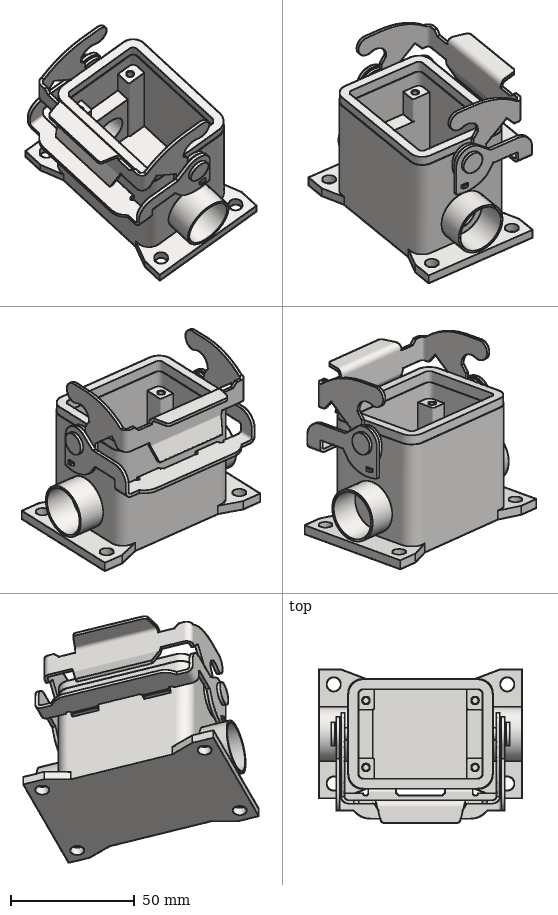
import cadquery as cq
import math

FLANGE_LENGTH = 82.0
FLANGE_WIDTH = 52.0
FLANGE_THICKNESS = 4.0
FLANGE_EAR_LENGTH = 9.1
FLANGE_TAPER_LENGTH = 10.0
MOUNT_HOLE_DIAMETER = 5.6
MOUNT_HOLE_SPACING = (70.0, 40.0)

BODY_LENGTH = 58.5
BODY_WIDTH = 44.4
BODY_HEIGHT = 53.0
BODY_CORNER_RADIUS = 6.0
RIM_HEIGHT = 4.0
RIM_STEP = 0.2

OPENING_LENGTH = 50.0
OPENING_WIDTH = 36.0
OPENING_RADIUS = 2.0
CAVITY_UNDERCUT = 0.2
CAVITY_RADIUS = 2.5
CAVITY_LIP_DEPTH = 5.0
FLOOR_THICKNESS = 4.0
POST_LENGTH = 6.4
POST_WIDTH = 8.2
POST_TOP = 40.8
POST_EDGE_RADIUS = 0.8
SCREW_HOLE_DIAMETER = 2.7
SCREW_HOLE_RIM_DIAMETER = 3.2
SCREW_HOLE_DEPTH = 10.0
SCREW_HOLE_SPACING = (44.0, 27.0)
LEDGE_TOP = 29.5
LEFT_LEDGE_LENGTH = 5.8
RIGHT_LEDGE_LENGTH = 6.4

ENTRY_DIAMETER = 22.0
ENTRY_BORE_DIAMETER = 20.2
ENTRY_BORE_DEPTH = 12.8
ENTRY_AXIS_HEIGHT = 16.0
CABLE_HOLE_DIAMETER = 14.0

PIVOT_HEIGHT = 46.0
PIN_DIAMETER = 4.9
PIN_HEAD_DIAMETER = 9.4
PIN_HEAD_THICKNESS = 1.4
PIN_TIP_X = 35.9

BRACKET_SHEET = 1.5
BRACKET_OUTER_X = 34.0
BRACKET_EYE_RADIUS = 7.0
BRACKET_BEND_RADIUS = 2.8
BRACKET_ARM_TOP = 47.0
BRACKET_ARM_BOTTOM = 39.9
BRACKET_ARM_START = 10.1
BRACKET_TAIL_START = 11.45
BRACKET_TAIL_TURN = (8.3, 35.3)
BRACKET_TAIL_LOW = (0.75, 31.6)
BRACKET_TAIL_END_Z = 32.1
BRACKET_ELBOW_RADIUS = 0.8
BRACKET_PLATE_BACK = 23.9
BRACKET_PLATE_FRONT = 30.9
BRACKET_PLATE_BOTTOM = 33.8
NOSE_FRONT = 34.2
NOSE_HALF_LENGTH = 27.0
NOSE_RADIUS = 8.0
LIP_INNER_X = 9.85
LIP_OUTER_X = 21.1
LIP_BOTTOM = 33.0
LIP_BEND_RADIUS = 1.3
RELIEF_FRONT = 24.8
RELIEF_WIDTH = 2.1
RELIEF_CORNER_RADIUS = 0.95
SLOT_CHAMFER = 1.1
STOP_CENTER = (3.0, 35.0)
STOP_LENGTH = 3.2
STOP_HEIGHT = 1.3
STOP_TIP_X = 35.0
STOP_CHAMFER = 0.65

LEVER_SHEET = 1.4
LEVER_OUTER_X = 32.0
LEVER_BEND_RADIUS = 2.8
LEVER_FRONT = 28.05
LEVER_PLATE_BOTTOM = 53.2
LEVER_PLATE_TOP = 63.5
LEVER_NOTCH_BOTTOM = 61.4
LEVER_NOTCH_OUTER_X = 26.9
LEVER_NOTCH_INNER_X = 24.9
LEVER_TOP = 71.0
HOOK_CENTER = (-4.2, 66.65)
LEVER_BACK_START = 4.4
LEVER_BACK_MID = (15.5, 68.9)
HOOK_THROAT_START = (-2.5, 62.65)
HOOK_THROAT_MID = (2.5, 62.65)
HOOK_THROAT_END = (5.35, 57.4)
NECK_REAR = 3.05
NECK_REAR_TOP = 54.25
NECK_FRONT = 9.35
NECK_FRONT_TOP = 49.1
NECK_CROTCH = (19.7, 57.5)
CHEEK_BOTTOM_START = 23.4
LEVER_EYE_RADIUS = 6.5
LEVER_LOW = 35.7
HANDLE_TIP = 35.98
HANDLE_TOP = 64.6
HANDLE_ROOT_HALF_LENGTH = 18.2
HANDLE_TIP_HALF_LENGTH = 15.8
HANDLE_CORNER_RADIUS = 1.8
SKIRT_ROOT_HALF_LENGTH = 19.2
SKIRT_TIP_HALF_LENGTH = 16.4
SKIRT_CORNER_RADIUS = 1.2
SKIRT_BEND_HEIGHT = 51.7
SKIRT_ANGLE = 25.0
SKIRT_LENGTH = 7.5


def block(x_range, y_range, z_range):
    """Axis-aligned box between the given limits."""
    sizes = [high - low for low, high in (x_range, y_range, z_range)]
    corner = (x_range[0], y_range[0], z_range[0])
    return cq.Workplane("XY").box(*sizes, centered=False).translate(corner)


def rounded_prism(length, width, radius, bottom, top):
    """Vertical prism with a rounded rectangular section, centred on Z."""
    prism = cq.Workplane("XY").workplane(offset=bottom).rect(length, width).extrude(top - bottom)
    return prism.edges("|Z").fillet(radius)


def cylinder_x(diameter, x_start, x_end, height):
    """Cylinder along X at Y = 0 and the given height."""
    plane = cq.Workplane("YZ").workplane(offset=x_start).center(0, height)
    return plane.circle(diameter / 2).extrude(x_end - x_start)


def mirrored_pair(solid):
    """The solid together with its mirror image across X = 0."""
    return solid.union(solid.mirror("YZ"))


def symmetric_outline(plane, half_points):
    """Closed outline on the plane from its +X half, completed by mirroring."""
    other_half = [(-x, w) for x, w in reversed(half_points)]
    return cq.Workplane(plane).polyline(half_points + other_half).close()


def side_shape(start):
    """Start an outline in the YZ plane, with coordinates (distance toward -Y, height)."""
    plane = cq.Plane(origin=(0, 0, 0), xDir=(0, -1, 0), normal=(-1, 0, 0))
    return cq.Workplane(plane).moveTo(*start)


def circle_point(center, radius, degrees):
    """Point on a circle at the given angle."""
    angle = math.radians(degrees)
    return (center[0] + radius * math.cos(angle), center[1] + radius * math.sin(angle))


def sheet_channel(half_width, sheet, bend_radius, length):
    """Sheet web at Y = 0 whose two ends bend toward +Y, extending along +Z."""
    z_range = (0, length)
    inner = half_width - sheet
    depth = 2 * bend_radius
    outside = block((-half_width, half_width), (0, depth), z_range)
    outside = outside.edges("|Z and <Y").fillet(bend_radius)
    inside = block((-inner, inner), (sheet, depth + sheet), z_range)
    inside = inside.edges("|Z and <Y").fillet(bend_radius - sheet)
    legs_above_bend = block((-half_width, half_width), (bend_radius, depth), z_range)
    return outside.cut(inside).cut(legs_above_bend)


def cheeks(outline, outer_x, sheet):
    """Pair of flat side plates with the given outline, flush with +/- outer_x."""
    return mirrored_pair(outline.extrude(sheet).translate((sheet - outer_x, 0, 0)))


def make_flange():
    end_x = FLANGE_LENGTH / 2
    ear_x = end_x - FLANGE_EAR_LENGTH
    waist_x = ear_x - FLANGE_TAPER_LENGTH
    ear_y = FLANGE_WIDTH / 2
    waist_y = BODY_WIDTH / 2
    half = [(waist_x, -waist_y), (ear_x, -ear_y), (end_x, -ear_y)]
    half += [(x, -y) for x, y in reversed(half)]
    flange = symmetric_outline("XY", half).extrude(FLANGE_THICKNESS)
    holes = cq.Workplane("XY").rarray(*MOUNT_HOLE_SPACING, 2, 2).circle(MOUNT_HOLE_DIAMETER / 2)
    return flange.cut(holes.extrude(FLANGE_THICKNESS))


def make_body():
    rim_bottom = BODY_HEIGHT - RIM_HEIGHT
    lower = rounded_prism(BODY_LENGTH, BODY_WIDTH, BODY_CORNER_RADIUS, 0, rim_bottom)
    rim = rounded_prism(
        BODY_LENGTH - 2 * RIM_STEP,
        BODY_WIDTH - 2 * RIM_STEP,
        BODY_CORNER_RADIUS - RIM_STEP,
        rim_bottom,
        BODY_HEIGHT,
    )
    return lower.union(rim)


def make_cavity():
    """Hollow of the housing, with the posts and ledges left standing."""
    cavity_length = OPENING_LENGTH + 2 * CAVITY_UNDERCUT
    cavity_width = OPENING_WIDTH + 2 * CAVITY_UNDERCUT
    lip_bottom = BODY_HEIGHT - CAVITY_LIP_DEPTH
    opening = rounded_prism(OPENING_LENGTH, OPENING_WIDTH, OPENING_RADIUS, lip_bottom, BODY_HEIGHT)
    chamber = rounded_prism(cavity_length, cavity_width, CAVITY_RADIUS, FLOOR_THICKNESS, lip_bottom)

    end_x = cavity_length / 2
    side_y = cavity_width / 2
    post_x = OPENING_LENGTH / 2 - POST_LENGTH
    post_y = OPENING_WIDTH / 2 - POST_WIDTH
    post = block((post_x, end_x), (post_y, side_y), (FLOOR_THICKNESS, POST_TOP))
    post = post.edges("|Z and <X and <Y").fillet(POST_EDGE_RADIUS)
    posts = mirrored_pair(post)
    posts = posts.union(posts.mirror("XZ"))

    ledge_z = (FLOOR_THICKNESS, LEDGE_TOP)
    left_x = LEFT_LEDGE_LENGTH - OPENING_LENGTH / 2
    right_x = OPENING_LENGTH / 2 - RIGHT_LEDGE_LENGTH
    left_ledge = block((-end_x, left_x), (-side_y, side_y), ledge_z)
    right_ledge = block((right_x, end_x), (-side_y, side_y), ledge_z)
    return opening.union(chamber).cut(posts).cut(left_ledge).cut(right_ledge)


def make_screw_holes():
    top = cq.Workplane("XY").workplane(offset=POST_TOP).rarray(*SCREW_HOLE_SPACING, 2, 2)
    holes = top.circle(SCREW_HOLE_DIAMETER / 2).extrude(-SCREW_HOLE_DEPTH)
    chamfer_depth = (SCREW_HOLE_RIM_DIAMETER - SCREW_HOLE_DIAMETER) / 2
    rims = top.circle(SCREW_HOLE_RIM_DIAMETER / 2).extrude(-chamfer_depth, taper=45)
    return holes.union(rims)


def make_housing():
    end_x = FLANGE_LENGTH / 2
    face_x = BODY_LENGTH / 2
    tube = cylinder_x(ENTRY_DIAMETER, face_x - RIM_STEP, end_x, ENTRY_AXIS_HEIGHT)
    bore = cylinder_x(ENTRY_BORE_DIAMETER, end_x - ENTRY_BORE_DEPTH, end_x, ENTRY_AXIS_HEIGHT)
    cable_hole = cylinder_x(CABLE_HOLE_DIAMETER, -face_x, 0, ENTRY_AXIS_HEIGHT)
    solid = make_body().union(make_flange()).union(mirrored_pair(tube))
    return solid.cut(make_cavity()).cut(make_screw_holes()).cut(mirrored_pair(bore)).cut(cable_hole)


def make_pins():
    """Pivot pins with flat heads, one on each end face of the body."""
    shank = cylinder_x(PIN_DIAMETER, BODY_LENGTH / 2 - 2 * RIM_STEP, PIN_TIP_X, PIVOT_HEIGHT)
    head = cylinder_x(PIN_HEAD_DIAMETER, PIN_TIP_X - PIN_HEAD_THICKNESS, PIN_TIP_X, PIVOT_HEIGHT)
    return mirrored_pair(shank.union(head))


def bracket_arm_outline():
    """Eye around the pivot, tail below it, and an arm bending down at the front."""
    eye = BRACKET_EYE_RADIUS
    pivot = (0, PIVOT_HEIGHT)
    rise = BRACKET_ARM_TOP - PIVOT_HEIGHT
    reach = math.hypot(BRACKET_ARM_START, rise)
    tangent_angle = math.acos(eye / reach) + math.atan2(rise, BRACKET_ARM_START)
    tangent = circle_point(pivot, eye, math.degrees(tangent_angle))

    elbow_radius = BRACKET_ARM_TOP - BRACKET_ARM_BOTTOM
    elbow_center = (BRACKET_PLATE_FRONT - elbow_radius, BRACKET_ARM_BOTTOM)
    elbow_mid = circle_point(elbow_center, elbow_radius, 45)
    inner_radius = BRACKET_ELBOW_RADIUS
    inner_center = (BRACKET_PLATE_BACK - inner_radius, BRACKET_ARM_BOTTOM - inner_radius)
    bend_top = BRACKET_PLATE_BOTTOM + BRACKET_BEND_RADIUS
    return (
        side_shape((-eye, PIVOT_HEIGHT))
        .threePointArc((0, PIVOT_HEIGHT + eye), tangent)
        .lineTo(BRACKET_ARM_START, BRACKET_ARM_TOP)
        .lineTo(elbow_center[0], BRACKET_ARM_TOP)
        .threePointArc(elbow_mid, (BRACKET_PLATE_FRONT, BRACKET_ARM_BOTTOM))
        .lineTo(BRACKET_PLATE_FRONT, bend_top)
        .lineTo(BRACKET_PLATE_BACK, bend_top)
        .lineTo(BRACKET_PLATE_BACK, inner_center[1])
        .threePointArc(circle_point(inner_center, inner_radius, 45), (inner_center[0], BRACKET_ARM_BOTTOM))
        .lineTo(BRACKET_TAIL_START, BRACKET_ARM_BOTTOM)
        .lineTo(*BRACKET_TAIL_TURN)
        .threePointArc(BRACKET_TAIL_LOW, (-eye, BRACKET_TAIL_END_Z))
        .close()
    )


def make_nose():
    """Widened front edge of the bracket plate, with large rounded corners."""
    depth = NOSE_FRONT - BRACKET_PLATE_FRONT
    half = [
        (NOSE_HALF_LENGTH, -RELIEF_FRONT),
        (NOSE_HALF_LENGTH, -BRACKET_PLATE_FRONT),
        (NOSE_HALF_LENGTH - depth, -NOSE_FRONT),
    ]
    nose = symmetric_outline("XY", half).extrude(BRACKET_SHEET)
    return nose.edges("|Z and <Y").fillet(NOSE_RADIUS).translate((0, 0, BRACKET_PLATE_BOTTOM))


def make_plate_openings():
    """Central slot and two narrow reliefs that separate the lips from the plate."""
    y_range = (-RELIEF_FRONT, -BODY_WIDTH / 2)
    z_range = (BRACKET_PLATE_BOTTOM, BRACKET_PLATE_BOTTOM + BRACKET_SHEET)
    slot = block((-LIP_INNER_X, LIP_INNER_X), y_range, z_range)
    slot = slot.edges("|Z and <Y").chamfer(SLOT_CHAMFER)
    relief = block((LIP_OUTER_X, LIP_OUTER_X + RELIEF_WIDTH), y_range, z_range)
    relief = relief.edges("|Z and <Y").fillet(RELIEF_CORNER_RADIUS)
    return slot.union(mirrored_pair(relief))


def make_lips():
    """Tabs bent down from the rear edge of the plate to rest against the body."""
    z_range = (LIP_BOTTOM, BRACKET_PLATE_BOTTOM + BRACKET_SHEET)
    lip = block((LIP_INNER_X, LIP_OUTER_X), (-BRACKET_PLATE_BACK, -BODY_WIDTH / 2), z_range)
    return mirrored_pair(lip.edges("|X and >Z and >Y").fillet(LIP_BEND_RADIUS))


def make_stops():
    """Small stop tabs through the bracket arms, with tapered ends."""
    inner_x = LEVER_OUTER_X
    stop = cq.Workplane("XY").box(STOP_TIP_X - inner_x, STOP_LENGTH, STOP_HEIGHT)
    stop = stop.edges("|Z and >X").chamfer(STOP_CHAMFER)
    return mirrored_pair(stop.translate(((STOP_TIP_X + inner_x) / 2, *STOP_CENTER)))


def make_bracket():
    length = BRACKET_PLATE_FRONT - BRACKET_PLATE_BACK
    web = sheet_channel(BRACKET_OUTER_X, BRACKET_SHEET, BRACKET_BEND_RADIUS, length)
    web = web.rotate((0, 0, 0), (1, 0, 0), 90)
    web = web.translate((0, -BRACKET_PLATE_BACK, BRACKET_PLATE_BOTTOM))
    plate = web.union(make_nose()).cut(make_plate_openings()).union(make_lips())
    arms = cheeks(bracket_arm_outline(), BRACKET_OUTER_X, BRACKET_SHEET)
    return plate.union(arms).union(make_stops())


def lever_cheek_outline():
    """Hooked side plate of the lever, narrowing to a neck around the pivot."""
    hook_radius = LEVER_TOP - HOOK_CENTER[1]
    hook_rear = (HOOK_CENTER[0] - hook_radius, HOOK_CENTER[1])
    bend_start = LEVER_FRONT - LEVER_BEND_RADIUS
    eye = LEVER_EYE_RADIUS
    pivot = (0, PIVOT_HEIGHT)
    neck_rear_low = (NECK_REAR, PIVOT_HEIGHT + math.sqrt(eye**2 - NECK_REAR**2))
    foot_radius = (NECK_FRONT + eye) / 2
    foot_center = (NECK_FRONT - foot_radius, LEVER_LOW + foot_radius)
    return (
        side_shape((HOOK_CENTER[0], LEVER_TOP))
        .lineTo(LEVER_BACK_START, LEVER_TOP)
        .threePointArc(LEVER_BACK_MID, (bend_start, LEVER_PLATE_TOP))
        .lineTo(bend_start, LEVER_PLATE_BOTTOM)
        .lineTo(CHEEK_BOTTOM_START, LEVER_PLATE_BOTTOM)
        .lineTo(*NECK_CROTCH)
        .lineTo(NECK_FRONT, NECK_FRONT_TOP)
        .lineTo(NECK_FRONT, foot_center[1])
        .threePointArc((foot_center[0], LEVER_LOW), (-eye, foot_center[1]))
        .lineTo(-eye, PIVOT_HEIGHT)
        .threePointArc(circle_point(pivot, eye, 120), neck_rear_low)
        .lineTo(NECK_REAR, NECK_REAR_TOP)
        .lineTo(*HOOK_THROAT_END)
        .threePointArc(HOOK_THROAT_MID, HOOK_THROAT_START)
        .threePointArc(hook_rear, (HOOK_CENTER[0], LEVER_TOP))
        .close()
    )


def make_lever_plate():
    """Front plate with bent ends and a shallow notch along its top edge."""
    height = LEVER_PLATE_TOP - LEVER_PLATE_BOTTOM
    plate = sheet_channel(LEVER_OUTER_X, LEVER_SHEET, LEVER_BEND_RADIUS, height)
    plate = plate.translate((0, -LEVER_FRONT, LEVER_PLATE_BOTTOM))
    half = [(LEVER_NOTCH_INNER_X, LEVER_NOTCH_BOTTOM), (LEVER_NOTCH_OUTER_X, LEVER_PLATE_TOP)]
    notch = symmetric_outline("XZ", half).extrude(LEVER_FRONT)
    return plate.cut(notch)


def make_handle():
    """Grip bent forward from the top of the front plate."""
    rear = LEVER_FRONT - LEVER_SHEET
    inner_radius = LEVER_BEND_RADIUS - LEVER_SHEET
    bend_center = (LEVER_FRONT + inner_radius, HANDLE_TOP - LEVER_BEND_RADIUS)
    underside = HANDLE_TOP - LEVER_SHEET
    section = (
        side_shape((rear, LEVER_PLATE_BOTTOM))
        .lineTo(rear, bend_center[1])
        .threePointArc(circle_point(bend_center, LEVER_BEND_RADIUS, 135), (bend_center[0], HANDLE_TOP))
        .lineTo(HANDLE_TIP, HANDLE_TOP)
        .lineTo(HANDLE_TIP, underside)
        .lineTo(bend_center[0], underside)
        .threePointArc(circle_point(bend_center, inner_radius, 135), (LEVER_FRONT, bend_center[1]))
        .lineTo(LEVER_FRONT, LEVER_PLATE_BOTTOM)
        .close()
    )
    half = [(HANDLE_ROOT_HALF_LENGTH, -rear), (HANDLE_TIP_HALF_LENGTH, -HANDLE_TIP)]
    outline = symmetric_outline("XY", half).extrude(HANDLE_TOP)
    outline = outline.edges("|Z and <Y").fillet(HANDLE_CORNER_RADIUS)
    return section.extrude(LEVER_OUTER_X, both=True).intersect(outline)


def make_skirt():
    """Flap below the front plate, bent outward."""
    rear = LEVER_FRONT - LEVER_SHEET
    inner_radius = LEVER_BEND_RADIUS - LEVER_SHEET
    bend_center = (LEVER_FRONT + inner_radius, SKIRT_BEND_HEIGHT)
    mid_angle = 180 + SKIRT_ANGLE / 2
    end_angle = 180 + SKIRT_ANGLE
    front_bend_end = circle_point(bend_center, inner_radius, end_angle)
    rear_bend_end = circle_point(bend_center, LEVER_BEND_RADIUS, end_angle)
    run = SKIRT_LENGTH * math.sin(math.radians(SKIRT_ANGLE))
    drop = SKIRT_LENGTH * math.cos(math.radians(SKIRT_ANGLE))
    rear_tip = (rear_bend_end[0] + run, rear_bend_end[1] - drop)
    section = (
        side_shape((rear, LEVER_PLATE_TOP))
        .lineTo(LEVER_FRONT, LEVER_PLATE_TOP)
        .lineTo(LEVER_FRONT, SKIRT_BEND_HEIGHT)
        .threePointArc(circle_point(bend_center, inner_radius, mid_angle), front_bend_end)
        .lineTo(front_bend_end[0] + run, front_bend_end[1] - drop)
        .lineTo(*rear_tip)
        .lineTo(*rear_bend_end)
        .threePointArc(circle_point(bend_center, LEVER_BEND_RADIUS, mid_angle), (rear, SKIRT_BEND_HEIGHT))
        .close()
    )
    half = [(SKIRT_ROOT_HALF_LENGTH, LEVER_PLATE_BOTTOM), (SKIRT_TIP_HALF_LENGTH, rear_tip[1])]
    outline = symmetric_outline("XZ", half).extrude(2 * LEVER_FRONT)
    outline = outline.edges("|Y and <Z").fillet(SKIRT_CORNER_RADIUS)
    return section.extrude(LEVER_OUTER_X, both=True).intersect(outline)


def make_lever():
    sides = cheeks(lever_cheek_outline(), LEVER_OUTER_X, LEVER_SHEET)
    return sides.union(make_lever_plate()).union(make_handle()).union(make_skirt())


result = make_housing().union(make_pins()).union(make_bracket()).union(make_lever())